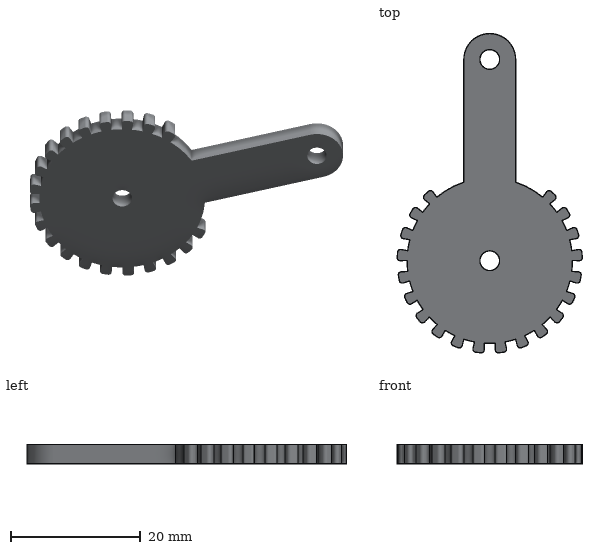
import cadquery as cq
import math

overall_length = 49.2
thickness = 3.0
root_radius = 12.75
tip_radius = 14.25
pitch_count = 25
tooth_count = 20
gap_width = 1.65
tip_fillet = 0.5
tooth_embed = 0.5
arm_width = 8.0
hole_diameter = 3.0

pitch_angle = 360 / pitch_count
first_tooth_angle = -90 - pitch_angle * (tooth_count - 1) / 2
tooth_base_radius = root_radius - tooth_embed
lowest_fillet_drop = math.sqrt((tip_radius - tip_fillet) ** 2 - (gap_width / 2 + tip_fillet) ** 2)
arm_hole_distance = overall_length - (lowest_fillet_drop + tip_fillet) - arm_width / 2


def flank_point(radius):
    """Point of the upper flank at the given radius, for a tooth pointing along +X."""
    gap_half_angle = math.asin(gap_width / 2 / radius)
    angle = math.radians(pitch_angle / 2) - gap_half_angle
    return radius * math.cos(angle), radius * math.sin(angle)


def make_tooth():
    """Tooth along +X whose flanks are parallel to the centrelines of the gaps beside it."""
    base_x, base_y = flank_point(tooth_base_radius)
    tip_x, tip_y = flank_point(tip_radius)
    return (
        cq.Workplane("XY")
        .moveTo(base_x, -base_y)
        .lineTo(tip_x, -tip_y)
        .threePointArc((tip_radius, 0), (tip_x, tip_y))
        .lineTo(base_x, base_y)
        .close()
        .extrude(thickness)
        .edges("|Z and (>(1, 1, 0) or >(1, -1, 0))")
        .fillet(tip_fillet)
    )


def make_arm():
    """Straight arm along +Y from the disc centre, with a full round end."""
    half_width = arm_width / 2
    return (
        cq.Workplane("XY")
        .moveTo(-half_width, 0)
        .lineTo(half_width, 0)
        .lineTo(half_width, arm_hole_distance)
        .threePointArc((0, arm_hole_distance + half_width), (-half_width, arm_hole_distance))
        .close()
        .extrude(thickness)
    )


body = cq.Workplane("XY").circle(root_radius).extrude(thickness).union(make_arm())

tooth = make_tooth()
for index in range(tooth_count):
    angle = first_tooth_angle + index * pitch_angle
    body = body.union(tooth.rotate((0, 0, 0), (0, 0, 1), angle))

holes = (
    cq.Workplane("XY")
    .pushPoints([(0, 0), (0, arm_hole_distance)])
    .circle(hole_diameter / 2)
    .extrude(thickness)
)
result = body.cut(holes)